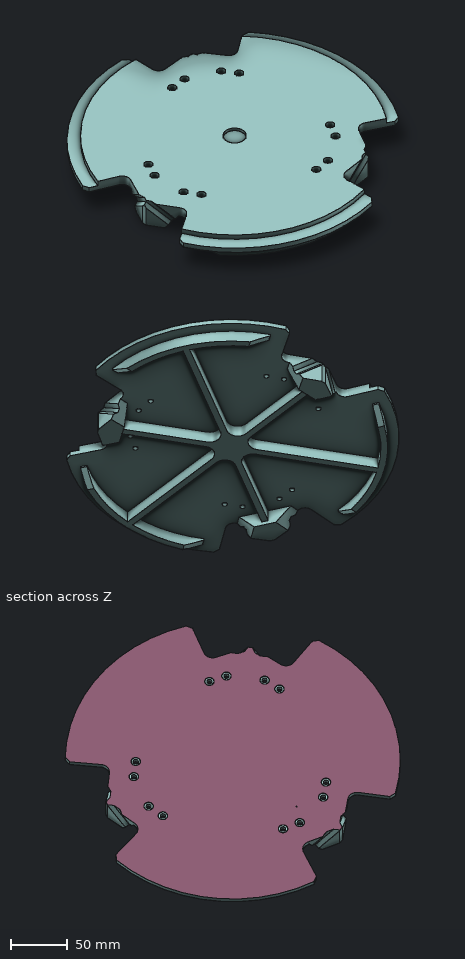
import math

import cadquery as cq

STEP_DEPTH = 5.0
PLATE_THICKNESS = 10.0
FRAME_DEPTH = 22.0
BLOCK_DEPTH = 26.0

TOP_RADIUS = 136.0
FLANGE_RADIUS = 148.0
SKIRT_OUTER_RADIUS = 138.0
SKIRT_WALL = 6.0
BORE_DIAMETER = 20.5
BORE_DEPTH = 3.0

NOTCH_COUNT = 3
NOTCH_PITCH = 360.0 / NOTCH_COUNT
NOSE_SLANT = math.radians(28.5)
NOSE_APEX_Y = -121.7
NOSE_TIP_Y = -120.5
NOSE_WALL_LENGTH = 40.8
ROOT_FILLET = 8.0
ARM_WALL_LENGTH = 36.0

BLOCK_BACK_Y = -99.0
BLOCK_END = 31.4

SLOPE_ANGLE = math.radians(37.5)
GROOVE_OFFSET = 1.6
GROOVE_FLOOR = 3.8
GROOVE_DEPTH = 3.2

SKIRT_SETBACK = 16.0
SKIRT_SLOPE_DEPTH = 11.5
SKIRT_SLOPE = math.radians(30)
CLEARANCE_BACK = 30.0

RIB_WIDTH = 6.0
RIB_FILLET = 10.0
RIB_EMBED = 3.0

HOLE_DIAMETER = 4.5
COUNTERBORE_DIAMETER = 8.0
COUNTERBORE_DEPTH = 6.0
HOLE_SETBACK = 22.0
HOLE_POSITIONS = (31.3, 47.4)

BEYOND = 100.0
FLARE_REACH = 50.0

WALL_X = math.cos(NOSE_SLANT)
WALL_Y = math.sin(NOSE_SLANT)
APEX = cq.Vector(0, NOSE_APEX_Y, 0)
WALL_ALONG = cq.Vector(WALL_X, WALL_Y, 0)
WALL_OUTWARD = cq.Vector(WALL_Y, -WALL_X, 0)
SLOPE_DOWN = WALL_ALONG * math.cos(SLOPE_ANGLE) - cq.Vector(0, 0, math.sin(SLOPE_ANGLE))
SLOPE_ACROSS = WALL_OUTWARD.cross(SLOPE_DOWN)


def disc(radius, top_depth, bottom_depth):
    """Round plate between two depths."""
    base = cq.Workplane("XY").workplane(offset=-bottom_depth)
    return base.circle(radius).extrude(bottom_depth - top_depth)


def both_sides(body):
    """Body joined with its mirror image across the notch axis."""
    return body.union(body.mirror("YZ"))


def around(body):
    """Body repeated at every notch."""
    copies = body
    for index in range(1, NOTCH_COUNT):
        copies = copies.union(body.rotate((0, 0, 0), (0, 0, 1), index * NOTCH_PITCH))
    return copies


def beside_nose(along, outward):
    """Plan position given along and outward from the +X nose wall."""
    spot = APEX + WALL_ALONG * along + WALL_OUTWARD * outward
    return spot.x, spot.y


def notch():
    """Cutting body of the notch that faces -Y, filleted at its two roots and flared at the rim."""
    tip_x = (NOSE_TIP_Y - NOSE_APEX_Y) * WALL_X / WALL_Y
    root = beside_nose(NOSE_WALL_LENGTH, 0)
    flare_start = beside_nose(NOSE_WALL_LENGTH, ARM_WALL_LENGTH)
    flare_end = beside_nose(NOSE_WALL_LENGTH + FLARE_REACH, ARM_WALL_LENGTH + FLARE_REACH)
    right_side = [(tip_x, NOSE_TIP_Y), root, flare_start, flare_end]
    left_side = [(-x, y) for x, y in reversed(right_side)]
    body = cq.Workplane("XY").polyline(right_side + left_side).close().extrude(-BLOCK_DEPTH)
    return body.edges("|Z").edges(">Y").fillet(ROOT_FILLET)


def plate(notches):
    """Stepped disc with the notches."""
    flange = disc(FLANGE_RADIUS, STEP_DEPTH, PLATE_THICKNESS)
    return flange.union(disc(TOP_RADIUS, 0, STEP_DEPTH)).cut(notches)


def block_end_trim():
    """Half-space past the ends of a nose block, square to the grooves."""
    frame = cq.Plane(APEX + SLOPE_DOWN * BLOCK_END, WALL_OUTWARD, SLOPE_DOWN)
    return both_sides(cq.Workplane(frame).rect(2 * BEYOND, 2 * BEYOND).extrude(BEYOND))


def skirt_clearance():
    """Opening that widens the notch below the plate and spreads downward."""
    arm_side = NOSE_WALL_LENGTH + SKIRT_SETBACK
    slope_run = (FRAME_DEPTH - SKIRT_SLOPE_DEPTH) / math.tan(SKIRT_SLOPE)
    frame = cq.Plane(APEX - WALL_OUTWARD * CLEARANCE_BACK, WALL_ALONG, WALL_OUTWARD)
    body = (
        cq.Workplane(frame)
        .polyline([
            (0, -PLATE_THICKNESS),
            (arm_side, -PLATE_THICKNESS),
            (arm_side, -SKIRT_SLOPE_DEPTH),
            (arm_side + slope_run, -FRAME_DEPTH),
            (0, -FRAME_DEPTH),
        ])
        .close()
        .extrude(BEYOND)
    )
    return both_sides(body)


def groove():
    """Trapezoidal groove running down each nose wall."""
    half_floor = GROOVE_FLOOR / 2
    half_mouth = half_floor + 2 * GROOVE_DEPTH
    frame = cq.Plane(APEX + SLOPE_ACROSS * GROOVE_OFFSET, SLOPE_ACROSS, SLOPE_DOWN)
    body = (
        cq.Workplane(frame)
        .workplane(offset=-BLOCK_END / 2)
        .polyline([
            (-half_floor, -GROOVE_DEPTH),
            (half_floor, -GROOVE_DEPTH),
            (half_mouth, GROOVE_DEPTH),
            (-half_mouth, GROOVE_DEPTH),
        ])
        .close()
        .extrude(2 * BLOCK_END)
    )
    return both_sides(body)


def nose_block(notches):
    """Block carrying one nose wall pair down below the plate."""
    width = 2 * NOSE_WALL_LENGTH
    length = BLOCK_BACK_Y - NOSE_APEX_Y
    block = (
        cq.Workplane("XY")
        .center(0, BLOCK_BACK_Y - length / 2)
        .rect(width, length)
        .extrude(-BLOCK_DEPTH)
    )
    return block.cut(notches).cut(block_end_trim())


def skirt(notches):
    """Ring under the rim, open at the notches."""
    outer = disc(SKIRT_OUTER_RADIUS, PLATE_THICKNESS, FRAME_DEPTH)
    inner = disc(SKIRT_OUTER_RADIUS - SKIRT_WALL, PLATE_THICKNESS, FRAME_DEPTH)
    return outer.cut(inner).cut(notches).cut(around(skirt_clearance()))


def ribs():
    """Six-armed star reaching the skirt and the nose blocks alternately."""
    to_skirt = SKIRT_OUTER_RADIUS - SKIRT_WALL + RIB_EMBED
    to_block = -BLOCK_BACK_Y + RIB_EMBED
    height = FRAME_DEPTH - PLATE_THICKNESS
    spoke = (
        cq.Workplane("XY")
        .workplane(offset=-FRAME_DEPTH)
        .center(0, (to_skirt - to_block) / 2)
        .rect(RIB_WIDTH, to_skirt + to_block)
        .extrude(height)
    )
    star = around(spoke)
    corner_reach = 2 * RIB_WIDTH
    corners = cq.selectors.BoxSelector(
        (-corner_reach, -corner_reach, -BLOCK_DEPTH), (corner_reach, corner_reach, 0)
    )
    return star.edges("|Z").edges(corners).fillet(RIB_FILLET)


def holes():
    """Counterbored through holes behind one nose."""
    spots = [beside_nose(along, -HOLE_SETBACK) for along in HOLE_POSITIONS]
    drills = cq.Workplane("XY").pushPoints(spots).circle(HOLE_DIAMETER / 2).extrude(-BLOCK_DEPTH)
    sinks = cq.Workplane("XY").pushPoints(spots).circle(COUNTERBORE_DIAMETER / 2).extrude(-COUNTERBORE_DEPTH)
    return both_sides(drills.union(sinks))


notches = around(notch())
result = plate(notches).union(skirt(notches)).union(around(nose_block(notches))).union(ribs())
result = result.cut(around(groove())).cut(around(holes()))
result = result.cut(disc(BORE_DIAMETER / 2, 0, BORE_DEPTH))